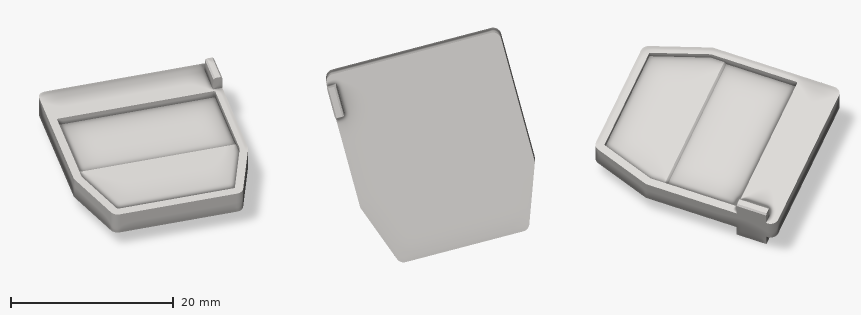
import cadquery as cq
import math

length = 25.1
width = 22.2
thickness = 2.89
corner_radius = 1.0
taper_start = 17.07
taper_angle = math.radians(20)

rim = 1.03
end_rim = 1.1
pocket_start = 5.45
pocket_corner_radius = 0.2
deep_depth = 1.0
shallow_depth = 0.7
ramp_start = 14.83
ramp_length = deep_depth - shallow_depth

tab_start = 1.2
tab_length = 3.9
tab_height = 6.4
tab_base_depth = 1.2
tab_tip_depth = 1.13
tab_chamfer = 0.2


def tapered_prism(start_x, end_x, half_width, bend_x, height):
    """Prism from Z = 0, symmetric about Y = 0, with a narrowing +X end."""
    end_half_width = half_width - (end_x - bend_x) * math.tan(taper_angle)
    outline = [
        (start_x, -half_width),
        (bend_x, -half_width),
        (end_x, -end_half_width),
        (end_x, end_half_width),
        (bend_x, half_width),
        (start_x, half_width),
    ]
    return cq.Workplane("XY").polyline(outline).close().extrude(height)


def make_plate():
    plate = tapered_prism(0, length, width / 2, taper_start, thickness)
    return plate.edges("|Z").fillet(corner_radius)


def make_pocket():
    """Material removed from the plate: a deep floor, a ramp and a shallow floor."""
    bend_x = taper_start - rim * math.tan(taper_angle / 2)
    pocket = tapered_prism(pocket_start, length - end_rim, width / 2 - rim, bend_x, deep_depth)
    pocket = pocket.edges("|Z and <X").fillet(pocket_corner_radius)
    step_height = deep_depth - shallow_depth
    raised_floor = (
        cq.Workplane("XZ")
        .moveTo(ramp_start, 0)
        .lineTo(ramp_start + ramp_length, step_height)
        .lineTo(length, step_height)
        .lineTo(length, 0)
        .close()
        .extrude(width / 2, both=True)
    )
    return pocket.cut(raised_floor).translate((0, 0, thickness - deep_depth))


def make_tab():
    """Bar with a drafted inner face and chamfered tips, mirrored about the plate mid-plane."""
    edge_y = width / 2
    base_y = edge_y - tab_base_depth
    tip_y = edge_y - tab_tip_depth
    base_z = thickness / 2
    tip_z = tab_height / 2
    profile = [
        (edge_y, 0),
        (edge_y, tip_z - tab_chamfer),
        (edge_y - tab_chamfer, tip_z),
        (tip_y + tab_chamfer, tip_z),
        (tip_y, tip_z - tab_chamfer),
        (base_y, base_z),
        (base_y, 0),
    ]
    upper_half = cq.Workplane("YZ").polyline(profile).close().extrude(tab_length)
    tab = upper_half.union(upper_half.mirror("XY"))
    return tab.translate((tab_start, 0, thickness / 2))


result = make_plate().cut(make_pocket()).union(make_tab())